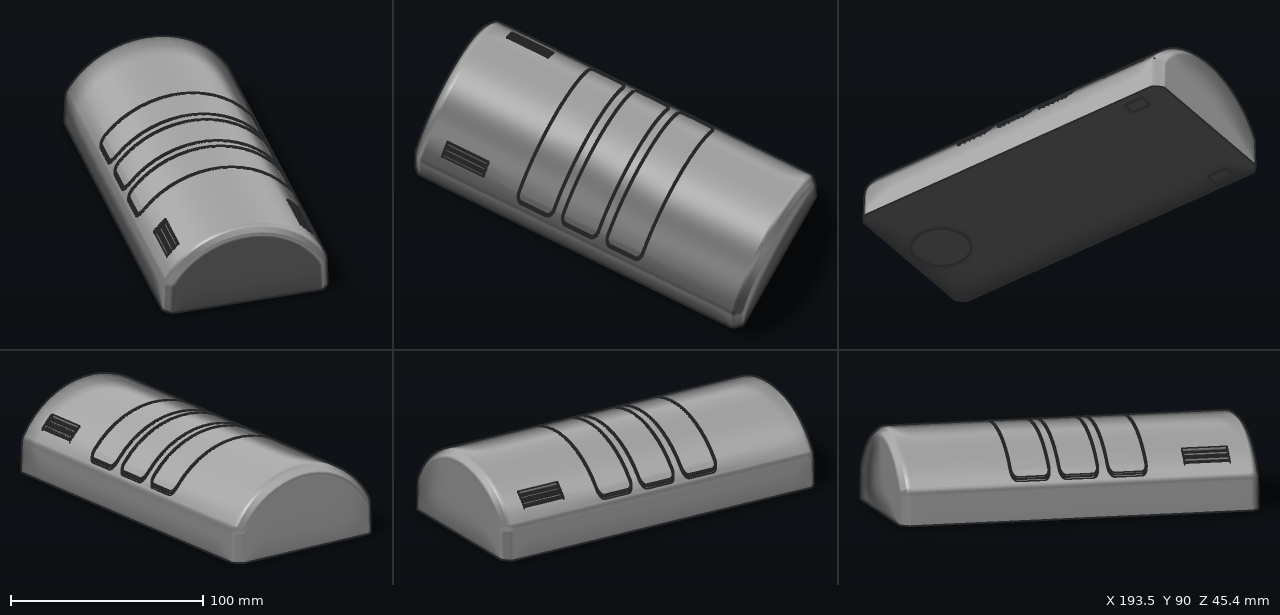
import cadquery as cq
import math

length = 193.5
base_width = 90.0
body_height = 44.9
roof_radius = 50.0
wall_draft = 2.0
shoulder_radius = 8.0
end_chamfer = 4.0
end_blend_radius = 3.3

panel_count = 3
panel_pitch = 26.1
panel_length = 21.5
panel_width = 84.4
panel_corner_radius = 3.5
groove_width = 0.8
groove_depth = 0.5

slot_count = 3
slot_length = 24.4
slot_width = 1.7
slot_pitch = 2.3
slot_x = 69.3
first_slot_y = 33.9
slot_depth = 1.5

pad_height = 0.5
disc_diameter = 31.0
disc_x = -76.0
foot_x = 77.0
foot_y = 37.0
foot_length = 11.0
foot_width = 7.0

tolerance = 0.02
roof_axis_z = body_height - roof_radius


def shoulder_corner():
    """Point (y, z) where the drafted side wall meets the roof arc."""
    lean = math.tan(math.radians(wall_draft))
    half_width = base_width / 2
    a = 1 + lean**2
    b = -2 * (half_width * lean + roof_axis_z)
    c = half_width**2 + roof_axis_z**2 - roof_radius**2
    z = (-b + math.sqrt(b**2 - 4 * a * c)) / (2 * a)
    return half_width - lean * z, z


def edges_above_base(x_min, x_max):
    """Selects edges centred between two X positions, leaving out those on the base plane."""
    return cq.selectors.BoxSelector(
        (x_min - tolerance, -base_width, tolerance),
        (x_max + tolerance, base_width, body_height + tolerance),
    )


def make_body():
    corner_y, corner_z = shoulder_corner()
    body = (
        cq.Workplane("YZ", origin=(-length / 2, 0, 0))
        .moveTo(-base_width / 2, 0)
        .lineTo(base_width / 2, 0)
        .lineTo(corner_y, corner_z)
        .threePointArc((0, body_height), (-corner_y, corner_z))
        .close()
        .extrude(length)
    )
    body = body.edges("|X").edges(edges_above_base(0, 0)).fillet(shoulder_radius)
    body = body.faces("<X or >X").edges(edges_above_base(-length / 2, length / 2)).chamfer(end_chamfer)
    for side in (-1, 1):
        for edge_x in (side * length / 2, side * (length / 2 - end_chamfer)):
            body = body.edges(edges_above_base(edge_x, edge_x)).fillet(end_blend_radius)
    return body


def roof_cylinder(radius):
    return cq.Workplane("YZ", origin=(-length / 2, 0, roof_axis_z)).circle(radius).extrude(length)


def panel_outline(inset):
    """Upright blocks with the rounded outline of every panel, drawn in by inset."""
    first_x = -(panel_count - 1) / 2 * panel_pitch
    centres = [(first_x + i * panel_pitch, 0) for i in range(panel_count)]
    return (
        cq.Workplane("XY")
        .pushPoints(centres)
        .rect(panel_length - 2 * inset, panel_width - 2 * inset)
        .extrude(body_height + 2)
        .edges("|Z")
        .fillet(panel_corner_radius - inset)
    )


def make_panel_grooves():
    rings = panel_outline(0).cut(panel_outline(groove_width))
    return rings.cut(roof_cylinder(roof_radius - groove_depth))


def make_slots():
    """Upright slot blocks that stop a constant depth below the roof."""
    places = [
        (slot_x, side * (first_slot_y + i * slot_pitch))
        for side in (-1, 1)
        for i in range(slot_count)
    ]
    blocks = cq.Workplane("XY").pushPoints(places).rect(slot_length, slot_width).extrude(body_height)
    return blocks.cut(roof_cylinder(roof_radius - slot_depth))


def make_pads():
    disc = cq.Workplane("XY").center(disc_x, 0).circle(disc_diameter / 2).extrude(-pad_height)
    feet = (
        cq.Workplane("XY")
        .pushPoints([(foot_x, -foot_y), (foot_x, foot_y)])
        .rect(foot_length, foot_width)
        .extrude(-pad_height)
    )
    return disc, feet


result = make_body()
result = result.cut(make_panel_grooves())
result = result.cut(make_slots())
for pad in make_pads():
    result = result.union(pad)